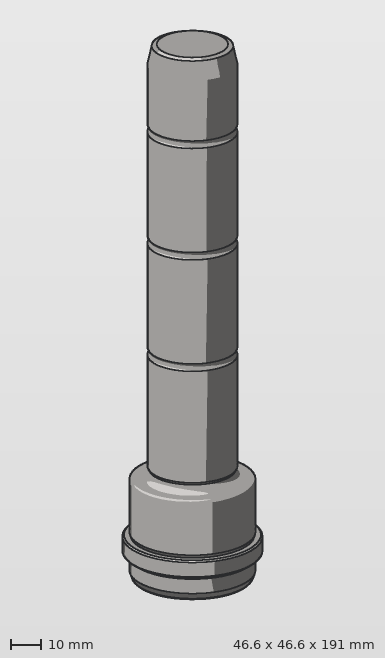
import cadquery as cq
import math

total_length = 191.0
shaft_diameter = 30.0
shaft_radius = shaft_diameter / 2
tip_flat_radius = 11.8
tip_shoulder_radius = 13.5
tip_edge_drop = 0.5
tip_taper_length = 7.0

groove_depth = 0.5
groove_width = 2.7
groove_pitch = 40.0
top_groove_height = 161.0
groove_count = 3

base_radius = 21.0
base_height = 36.0
base_top_fillet = 1.0
base_foot_setback = 0.8
base_foot_height = 2.7
base_foot_bevel = 0.5

neck_fillet = 3.0
neck_undercut = 0.5
neck_taper_length = 1.0

collar_radius = 23.3
collar_bottom = 9.0
collar_thickness = 6.3
collar_chamfer = 0.5
relief_width = 1.1
relief_depth = 0.4


def make_base():
    """Base cylinder with a filleted top edge and a tapered, bevelled foot."""
    foot_radius = base_radius - base_foot_setback
    return (
        cq.Workplane("XZ")
        .lineTo(foot_radius - base_foot_bevel, 0)
        .lineTo(foot_radius, base_foot_bevel)
        .lineTo(base_radius, base_foot_height)
        .lineTo(base_radius, base_height)
        .lineTo(0, base_height)
        .close()
        .revolve()
        .edges(">Z")
        .fillet(base_top_fillet)
    )


def make_shaft():
    """Shaft with a filleted neck at the base and a tapered, bevelled tip."""
    neck_radius = shaft_radius - neck_undercut
    neck_top = base_height + neck_fillet
    arc_offset = neck_fillet * (1 - math.sqrt(0.5))
    tip_edge_height = total_length - tip_edge_drop
    return (
        cq.Workplane("XZ")
        .moveTo(0, base_height)
        .lineTo(neck_radius + neck_fillet, base_height)
        .threePointArc(
            (neck_radius + arc_offset, base_height + arc_offset),
            (neck_radius, neck_top),
        )
        .lineTo(shaft_radius, neck_top + neck_taper_length)
        .lineTo(shaft_radius, total_length - tip_taper_length)
        .lineTo(tip_shoulder_radius, tip_edge_height)
        .lineTo(tip_flat_radius, total_length)
        .lineTo(0, total_length)
        .close()
        .revolve()
    )


def make_ring_groove(height):
    """Cutter for a shallow round-bottomed groove centred at the given height."""
    half_width = groove_width / 2
    return (
        cq.Workplane("XZ")
        .moveTo(shaft_radius, height - half_width)
        .threePointArc(
            (shaft_radius - groove_depth, height),
            (shaft_radius, height + half_width),
        )
        .close()
        .revolve(360, (0, 0), (0, 1))
    )


def make_relief(collar_face, away):
    """Cutter tapering the base inward to a collar face; away is +1 above the collar, -1 below."""
    return (
        cq.Workplane("XZ")
        .moveTo(base_radius, collar_face)
        .lineTo(base_radius - relief_depth, collar_face)
        .lineTo(base_radius, collar_face + away * relief_width)
        .close()
        .revolve(360, (0, 0), (0, 1))
    )


def make_collar():
    """Collar with both rims chamfered."""
    return (
        cq.Workplane("XY", origin=(0, 0, collar_bottom))
        .circle(collar_radius)
        .extrude(collar_thickness)
        .edges()
        .chamfer(collar_chamfer)
    )


result = make_base().union(make_shaft())

for groove_index in range(groove_count):
    result = result.cut(make_ring_groove(top_groove_height - groove_index * groove_pitch))

result = result.cut(make_relief(collar_bottom, -1))
result = result.cut(make_relief(collar_bottom + collar_thickness, 1))

result = result.union(make_collar())